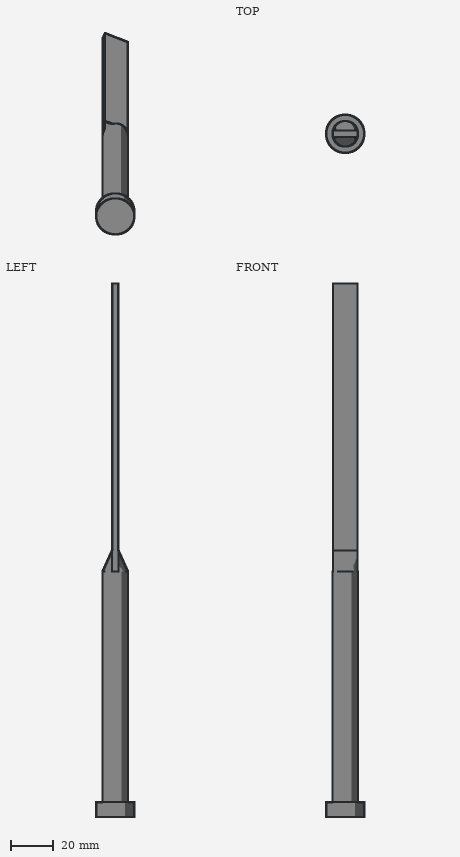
import cadquery as cq
import math

total_length = 250.0
head_height = 7.0
blade_length = 125.0
transition_length = 10.0
shaft_top = total_length - blade_length - transition_length

head_diameter = 18.0
shaft_diameter = 12.0
shaft_radius = shaft_diameter / 2
blade_thickness = 3.0
half_thickness = blade_thickness / 2
half_width = math.sqrt(shaft_radius**2 - half_thickness**2)


def make_transition():
    """Blend from the shaft circle, flattened at +X and -X, to the blade rectangle."""
    flattened_circle = (
        cq.Workplane("XY")
        .workplane(offset=shaft_top)
        .moveTo(-half_width, -half_thickness)
        .threePointArc((0, -shaft_radius), (half_width, -half_thickness))
        .lineTo(half_width, half_thickness)
        .threePointArc((0, shaft_radius), (-half_width, half_thickness))
        .close()
    )
    return (
        flattened_circle.workplane(offset=transition_length)
        .moveTo(-half_width, -half_thickness)
        .lineTo(half_width, -half_thickness)
        .lineTo(half_width, half_thickness)
        .lineTo(-half_width, half_thickness)
        .close()
        .loft(ruled=True, combine=True)
    )


head = cq.Workplane("XY").circle(head_diameter / 2).extrude(head_height)
shaft = cq.Workplane("XY").circle(shaft_radius).extrude(shaft_top)
blade = (
    cq.Workplane("XY")
    .workplane(offset=shaft_top + transition_length)
    .rect(2 * half_width, blade_thickness)
    .extrude(blade_length)
)

result = head.union(shaft).union(make_transition()).union(blade)